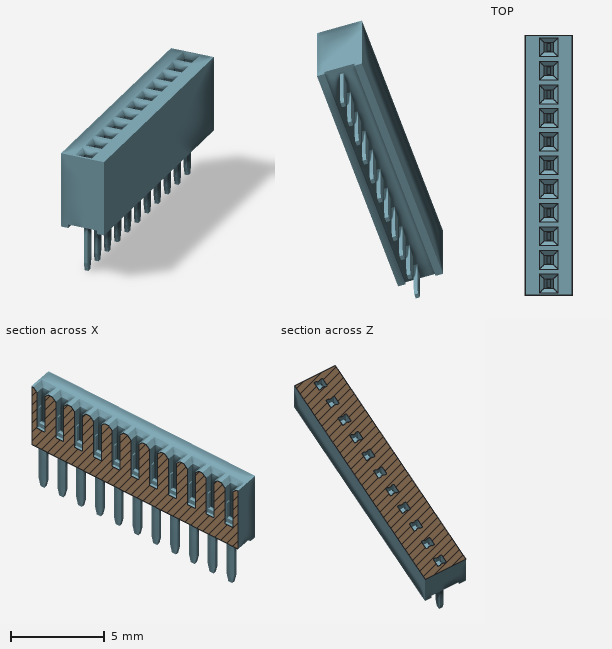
import cadquery as cq


contact_count = 11
housing_length = 13.97
housing_width = 2.54
housing_height = 4.4
foot_width = 0.42
foot_height = 0.21
pitch = housing_length / contact_count

funnel_mouth = 1.0
socket_size = 0.5
funnel_depth = 0.25
socket_depth = 2.8

contact_thickness = 0.21
contact_width = socket_size
tail_length = 2.6
tip_width = 0.27
tip_length = 0.5
tine_width = 0.04
tine_length = 1.12
fork_root_height = 0.28

socket_floor = housing_height - socket_depth
contact_centres = [
    (0, (index - (contact_count - 1) / 2) * pitch) for index in range(contact_count)
]


def make_housing():
    """Plain block with a channel along the underside that leaves two feet."""
    block = cq.Workplane("XY").box(
        housing_width, housing_length, housing_height, centered=(True, True, False)
    )
    channel = cq.Workplane("XY").box(
        housing_width - 2 * foot_width, housing_length, foot_height, centered=(True, True, False)
    )
    return block.cut(channel)


def make_socket():
    """Cutting body for one socket: a tapered funnel above a straight blind hole."""
    funnel = (
        cq.Workplane("XY", origin=(0, 0, housing_height))
        .rect(funnel_mouth, funnel_mouth)
        .workplane(offset=-funnel_depth)
        .rect(socket_size, socket_size)
        .loft(ruled=True)
    )
    hole = (
        cq.Workplane("XY", origin=(0, 0, socket_floor))
        .rect(socket_size, socket_size)
        .extrude(socket_depth - funnel_depth)
    )
    return funnel.union(hole)


def make_contact():
    """Flat contact: a two-tined fork in the socket and a tail with a tapered tip.

    The tines lie against the end walls of the socket, and their tops slope inward at 45 degrees.
    """
    half_width = contact_width / 2
    tine_inner = half_width - tine_width
    fork_root = socket_floor + fork_root_height
    tine_top = fork_root + tine_length
    half_outline = [
        (tine_inner, fork_root),
        (tine_inner, tine_top - tine_width),
        (half_width, tine_top),
        (half_width, tip_length - tail_length),
        (tip_width / 2, -tail_length),
    ]
    mirrored_half = [(-y, z) for y, z in reversed(half_outline)]
    return (
        cq.Workplane("YZ")
        .polyline(half_outline + mirrored_half)
        .close()
        .extrude(contact_thickness / 2, both=True)
    )


def at_each_contact(body):
    """Copies of a body at every contact position."""
    shape = body.val()
    return cq.Workplane("XY").pushPoints(contact_centres).eachpoint(shape.moved)


sockets = at_each_contact(make_socket())
contacts = at_each_contact(make_contact())
result = make_housing().cut(sockets).union(contacts)